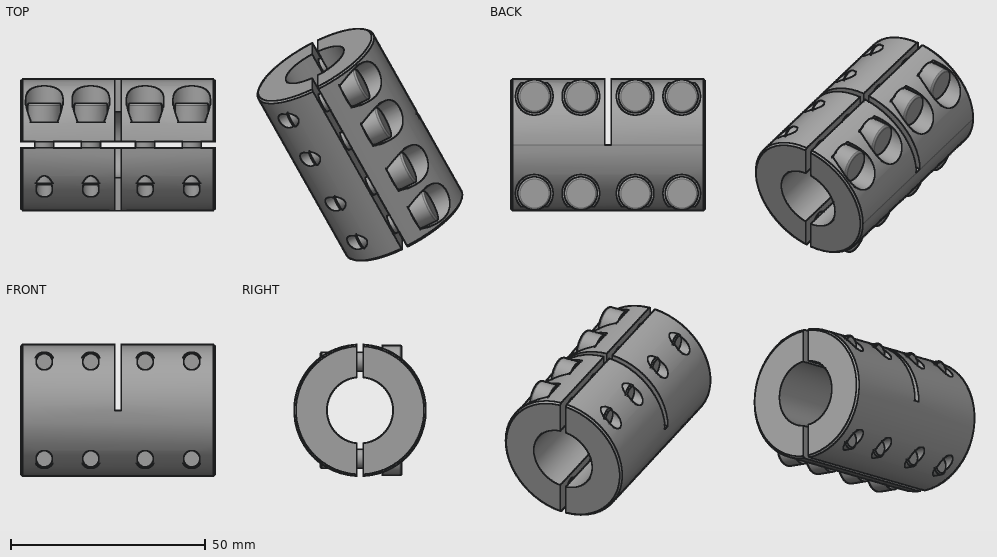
import cadquery as cq


length = 50.0
outer_diameter = 34.0
bore_diameter = 17.0
end_chamfer = 0.5
split_gap = 1.6
slit_width = 1.6

screw_xs = (-19.0, -7.0, 7.0, 19.0)
screw_height = 12.5
seat_y = 5.75
shank_diameter = 5.0
shank_length = 16.0
head_diameter = 8.5
head_length = 5.0
head_fillet = 0.5

core_diameter = 4.2
pocket_diameter = 9.7

tip_chamfer = (shank_diameter - core_diameter) / 2
tip_y = seat_y - shank_length
outer_radius = outer_diameter / 2

screw_places = [(x, z) for x in screw_xs for z in (screw_height, -screw_height)]


def y_cylinder(x, z, diameter, y_start, y_end):
    """Cylinder parallel to Y, from y_start up to y_end."""
    base = cq.Plane(origin=(x, y_start, z), xDir=(1, 0, 0), normal=(0, 1, 0))
    return cq.Workplane(base).circle(diameter / 2).extrude(y_end - y_start)


def shank(x, z):
    """Screw shank with a chamfered tip that narrows to the core hole."""
    return y_cylinder(x, z, shank_diameter, tip_y, seat_y).faces("<Y").chamfer(tip_chamfer)


def cap_screw(x, z):
    """Cap screw with its head towards +Y."""
    head = y_cylinder(x, z, head_diameter, seat_y, seat_y + head_length)
    head = head.faces(">Y").edges().fillet(head_fillet)
    return shank(x, z).union(head)


def x_cylinder(diameter):
    """Cylinder along X over the full length of the coupling."""
    return cq.Workplane("YZ", origin=(-length / 2, 0, 0)).circle(diameter / 2).extrude(length)


def split_sleeve():
    """Chamfered sleeve with the cross slit cut through its upper half."""
    sleeve = x_cylinder(outer_diameter).faces("<X or >X").chamfer(end_chamfer)
    slit = cq.Workplane("XY").box(
        slit_width, outer_diameter, outer_radius, centered=(True, True, False)
    )
    return sleeve.cut(x_cylinder(bore_diameter)).cut(slit)


def half_space(side):
    """Block around one half: side +1 is towards +Y, side -1 towards -Y."""
    depth = outer_radius - split_gap / 2
    centre_y = side * (split_gap / 2 + depth / 2)
    return cq.Workplane("XY").box(length, depth, outer_diameter).translate((0, centre_y, 0))


def head_side_half():
    """Half with clearance holes and the pockets for the screw heads."""
    half = split_sleeve().intersect(half_space(1))
    for x, z in screw_places:
        half = half.cut(shank(x, z))
        half = half.cut(y_cylinder(x, z, pocket_diameter, seat_y, outer_radius))
    return half


def thread_side_half():
    """Half that holds the screw shanks, with core holes open to the outside."""
    half = split_sleeve().intersect(half_space(-1))
    for x, z in screw_places:
        half = half.cut(shank(x, z))
        half = half.cut(y_cylinder(x, z, core_diameter, -outer_radius, tip_y))
    return half


rear_half = head_side_half()
front_half = thread_side_half()
screws = [cap_screw(x, z).val() for x, z in screw_places]

result = cq.Compound.makeCompound([rear_half.val(), front_half.val(), *screws])